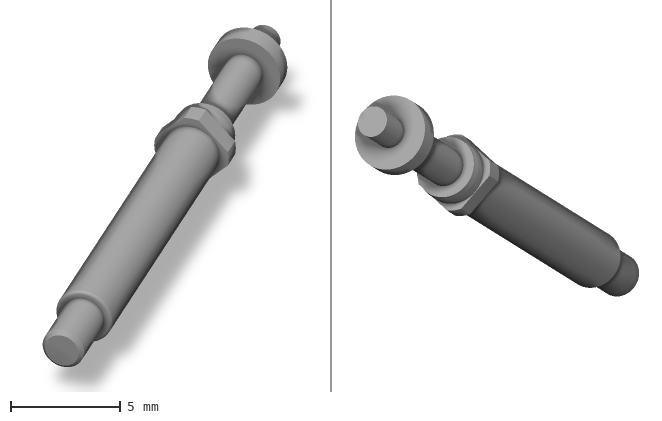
import cadquery as cq


barrel_diameter = 2.7
barrel_length = 15.0
barrel_edge_radius = 0.15
plunger_diameter = 2.0
plunger_length = 3.0
plunger_chamfer = 0.2

collar_diameter = 3.6
collar_across_flats = 3.0
collar_length = 1.0
flat_angle = 45.0

shoulder_diameter = 2.95
shoulder_length = 1.0
shoulder_taper_length = 0.4
shoulder_end_diameter = 2.85

neck_diameter = 1.8
neck_length = 5.3
flange_diameter = 3.5
flange_length = 1.0
tail_diameter = 1.45
tail_length = 2.0

plunger_start = -barrel_length
collar_end = collar_length
shoulder_end = collar_end + shoulder_length
neck_end = shoulder_end + neck_length
flange_end = neck_end + flange_length


def cylinder(diameter, start, length):
    """Cylinder on the Y axis from Y = start, growing toward +Y."""
    base = cq.Plane(origin=(0, start, 0), xDir=(1, 0, 0), normal=(0, 1, 0))
    return cq.Workplane(base).circle(diameter / 2).extrude(length)


def make_barrel():
    barrel = cylinder(barrel_diameter, plunger_start, barrel_length)
    return barrel.faces("<Y").edges().fillet(barrel_edge_radius)


def make_plunger():
    plunger = cylinder(plunger_diameter, plunger_start - plunger_length, plunger_length)
    return plunger.faces("<Y").edges().chamfer(plunger_chamfer)


def make_collar():
    square = (
        cq.Workplane("XY")
        .box(collar_across_flats, collar_length, collar_across_flats)
        .rotate((0, 0, 0), (0, 1, 0), flat_angle)
        .translate((0, collar_length / 2, 0))
    )
    return cylinder(collar_diameter, 0, collar_length).intersect(square)


def make_shoulder():
    """Revolved shoulder: a cylinder ending in a shallow cone."""
    side_radius = shoulder_diameter / 2
    end_radius = shoulder_end_diameter / 2
    taper_start = shoulder_end - shoulder_taper_length
    return (
        cq.Workplane("XY")
        .moveTo(0, collar_end)
        .lineTo(side_radius, collar_end)
        .lineTo(side_radius, taper_start)
        .lineTo(end_radius, shoulder_end)
        .lineTo(0, shoulder_end)
        .close()
        .revolve(360, (0, 0, 0), (0, 1, 0))
    )


result = (
    make_barrel()
    .union(make_plunger())
    .union(make_collar())
    .union(make_shoulder())
    .union(cylinder(neck_diameter, shoulder_end, neck_length))
    .union(cylinder(flange_diameter, neck_end, flange_length))
    .union(cylinder(tail_diameter, flange_end, tail_length))
)